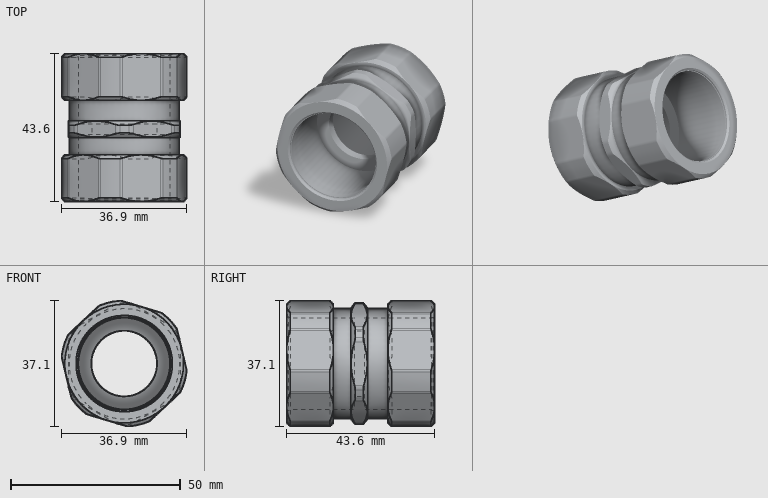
import cadquery as cq
import math


TOTAL_LENGTH = 43.59
NUT_LENGTH = 13.75
COLLAR_LENGTH = 5.0
FRONT_GAP = 5.1

FRONT_END = -TOTAL_LENGTH / 2
BACK_END = TOTAL_LENGTH / 2
COLLAR_FRONT = FRONT_END + NUT_LENGTH + FRONT_GAP
COLLAR_CENTRE = COLLAR_FRONT + COLLAR_LENGTH / 2

SLEEVE_DIAMETER = 32.55
SOCKET_DIAMETER = 27.0
STOP_BORE_DIAMETER = 19.3
STOP_LENGTH = 3.0

NUT_ACROSS_FLATS = 35.0
NUT_CORNER_RADIUS = 18.59
NUT_EDGE_BLEND = 2.0
NUT_TURN = 13.3
NUT_CHAMFER = 1.1
NUT_FACE_RADIUS = NUT_CORNER_RADIUS - NUT_CHAMFER

MOUTH_DIAMETER = 28.45
MOUTH_BORE_DIAMETER = 27.45
MOUTH_BEVEL = (MOUTH_DIAMETER - MOUTH_BORE_DIAMETER) / 2
MOUTH_DEPTH = 1.0

COLLAR_ACROSS_FLATS = 32.9
COLLAR_CORNER_RADIUS = 17.92
COLLAR_EDGE_BLEND = 3.0
COLLAR_TURN = 0.0
COLLAR_CHAMFER = 1.35
COLLAR_FACE_RADIUS = SLEEVE_DIAMETER / 2

HEX_SIDES = 6
SIDE_ANGLE = 360 / HEX_SIDES


def polar(radius, angle):
    """Point at an angle in degrees from +X towards +Z."""
    turn = math.radians(angle)
    return (radius * math.cos(turn), radius * math.sin(turn))


def offset(point, distance, angle):
    """Point moved by a distance along an angle in degrees."""
    step_x, step_z = polar(distance, angle)
    return (point[0] + step_x, point[1] + step_z)


def end_plane(y):
    """Plane across the part at y, with local x, y along X, Z; it extrudes towards -Y."""
    return cq.Workplane("XZ", origin=(0, y, 0))


def revolved(points):
    """Solid turned about the Y axis from (radius, y) points."""
    return cq.Workplane("XY").polyline(points).close().revolve(360, (0, 0), (0, 1))


def blended_hex(across_flats, corner_radius, blend, turn, start, length):
    """Hexagonal prism with arc corners, each blended tangentially into the flats."""
    apothem = across_flats / 2
    centre_radius = corner_radius - blend
    blend_sweep = math.degrees(math.acos((apothem - blend) / centre_radius))

    def blend_arc(wire, centre_angle, from_angle, to_angle):
        centre = polar(centre_radius, centre_angle)
        middle = offset(centre, blend, (from_angle + to_angle) / 2)
        return wire.threePointArc(middle, offset(centre, blend, to_angle))

    first_centre = polar(centre_radius, turn - blend_sweep)
    wire = end_plane(start + length).moveTo(*offset(first_centre, blend, turn))
    for side in range(HEX_SIDES):
        normal = turn + side * SIDE_ANGLE
        next_normal = normal + SIDE_ANGLE
        flat_end = normal + blend_sweep
        next_flat_start = next_normal - blend_sweep
        wire = wire.lineTo(*offset(polar(centre_radius, flat_end), blend, normal))
        wire = blend_arc(wire, flat_end, normal, flat_end)
        wire = wire.threePointArc(
            polar(corner_radius, normal + SIDE_ANGLE / 2),
            polar(corner_radius, next_flat_start),
        )
        wire = blend_arc(wire, next_flat_start, next_flat_start, next_normal)
    return wire.close().extrude(length)


def chamfer_envelope(face_radius, corner_radius, chamfer, start, length):
    """Cylinder with conical ends that trims the corners of a hexagon."""
    end = start + length
    return revolved([
        (0, start),
        (face_radius, start),
        (corner_radius, start + chamfer),
        (corner_radius, end - chamfer),
        (face_radius, end),
        (0, end),
    ])


def make_nut(start):
    nut = blended_hex(
        NUT_ACROSS_FLATS, NUT_CORNER_RADIUS, NUT_EDGE_BLEND, NUT_TURN, start, NUT_LENGTH
    )
    return nut.intersect(
        chamfer_envelope(NUT_FACE_RADIUS, NUT_CORNER_RADIUS, NUT_CHAMFER, start, NUT_LENGTH)
    )


def make_collar():
    collar = blended_hex(
        COLLAR_ACROSS_FLATS, COLLAR_CORNER_RADIUS, COLLAR_EDGE_BLEND, COLLAR_TURN,
        COLLAR_FRONT, COLLAR_LENGTH,
    )
    return collar.intersect(
        chamfer_envelope(
            COLLAR_FACE_RADIUS, COLLAR_CORNER_RADIUS, COLLAR_CHAMFER, COLLAR_FRONT, COLLAR_LENGTH
        )
    )


def make_sleeve():
    return end_plane(BACK_END).circle(SLEEVE_DIAMETER / 2).extrude(TOTAL_LENGTH)


def make_socket(end, inward):
    """Cavity from one end to the stop; inward is +1 or -1 along Y."""
    stop_face = COLLAR_CENTRE - inward * STOP_LENGTH / 2
    mouth_floor = end + inward * MOUTH_DEPTH
    return revolved([
        (0, end),
        (MOUTH_DIAMETER / 2, end),
        (MOUTH_BORE_DIAMETER / 2, end + inward * MOUTH_BEVEL),
        (MOUTH_BORE_DIAMETER / 2, mouth_floor),
        (SOCKET_DIAMETER / 2, mouth_floor),
        (SOCKET_DIAMETER / 2, stop_face),
        (0, stop_face),
    ])


def make_stop_bore():
    return end_plane(BACK_END).circle(STOP_BORE_DIAMETER / 2).extrude(TOTAL_LENGTH)


coupling = make_sleeve().union(make_collar())
for nut_start in (FRONT_END, BACK_END - NUT_LENGTH):
    coupling = coupling.union(make_nut(nut_start))
for socket_end, inward_direction in ((FRONT_END, 1), (BACK_END, -1)):
    coupling = coupling.cut(make_socket(socket_end, inward_direction))
result = coupling.cut(make_stop_bore())